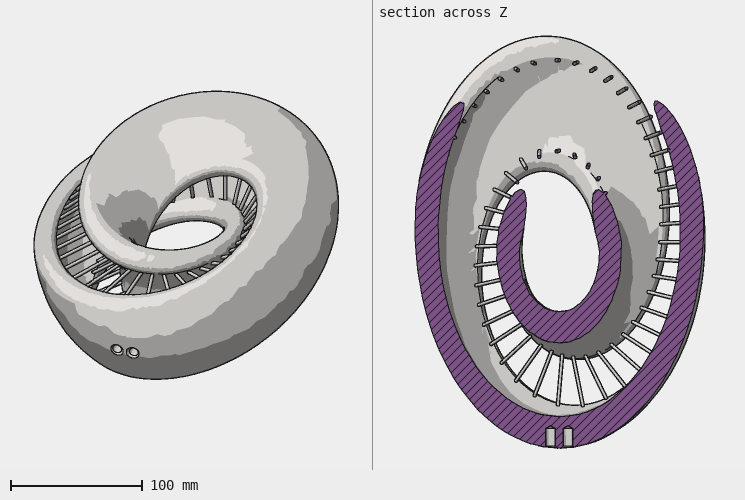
import cadquery as cq
import math

RING_RADIUS = 69.3
STRETCH_Y = 1.5
START_ANGLE = -90
SEGMENT_SPAN = 180
SEGMENTS = 4
STATION_STEP = 15

OUTER_CROWN = 34.6
RIM_CENTRE = (20.1, 26.47)
RIM_RADIUS = 8.35
RIM_START = 28
RIM_END = 196
RIM_STEPS = 6
WALL_THICKNESS = 16.0
INNER_CROWN = OUTER_CROWN - WALL_THICKNESS

ROD_COUNT = 80
ROD_PITCHES = 80.33
FIRST_ROD_ANGLE = 450
ROD_DIAMETER = 2.6
ROD_HALF_SPAN = 16.0
ROD_LEVEL = 23.0
ROD_SKEW = 0.15
ARC_SAMPLES = 2880

HOLE_OFFSET_X = 6.6
HOLE_DIAMETER = 7.0
COUNTERSINK_DIAMETER = 10.8
COUNTERSINK_DEPTH = (COUNTERSINK_DIAMETER - HOLE_DIAMETER) / 2
HOLE_DEPTH = 15.0
DRILL_POINT_ANGLE = 118


def twist(angle):
    """Turn of the section, in radians: half a degree per degree of ring."""
    return math.radians(angle - START_ANGLE) / 2


def section_plane(angle):
    """Plane across the round ring, with local x along p and local y along q."""
    around = math.radians(angle)
    turn = twist(angle)
    radial = cq.Vector(math.cos(around), math.sin(around), 0)
    up = cq.Vector(0, 0, 1)
    p_direction = radial * math.cos(turn) + up * math.sin(turn)
    tangent = cq.Vector(math.sin(around), -math.cos(around), 0)
    return cq.Plane(origin=radial * RING_RADIUS, xDir=p_direction, normal=tangent)


def rim_points():
    """Points round the rim on the +q side, from the outer face to the inner face."""
    step = math.radians(RIM_END - RIM_START) / RIM_STEPS
    bearings = [math.radians(RIM_START) + step * index for index in range(RIM_STEPS + 1)]
    return [
        (RIM_CENTRE[0] + RIM_RADIUS * math.cos(bearing), RIM_CENTRE[1] + RIM_RADIUS * math.sin(bearing))
        for bearing in bearings
    ]


def section_wire(angle):
    """Outline of the wall: two crowned faces joined by rounded rims."""
    upper_rim = rim_points()
    lower_rim = [(p, -q) for p, q in reversed(upper_rim)]
    return (
        cq.Workplane(section_plane(angle))
        .moveTo(*lower_rim[-1])
        .spline([(OUTER_CROWN, 0), upper_rim[0]], includeCurrent=True)
        .spline(upper_rim[1:], includeCurrent=True)
        .spline([(INNER_CROWN, 0), lower_rim[0]], includeCurrent=True)
        .spline(lower_rim[1:], includeCurrent=True)
        .wire()
        .val()
    )


def wall_segment(index):
    """Skin of the wall along one half of the ring, still round in plan."""
    first = START_ANGLE + index * SEGMENT_SPAN
    stations = range(first, first + SEGMENT_SPAN + 1, STATION_STEP)
    return cq.occ_impl.shapes.loft(*[section_wire(angle) for angle in stations])


def twisted_wall():
    """Closed solid made of the four segments, stretched along Y."""
    stretch = cq.Matrix([[1, 0, 0, 0], [0, STRETCH_Y, 0, 0], [0, 0, 1, 0]])
    faces = []
    for index in range(SEGMENTS):
        faces += wall_segment(index).transformGeometry(stretch).Faces()
    return cq.Solid.makeSolid(cq.Shell.makeShell(faces))


def slot_point(angle):
    """Middle of the slot, on the stretched ring."""
    around = math.radians(angle)
    turn = twist(angle)
    reach = RING_RADIUS - ROD_LEVEL * math.sin(turn)
    return cq.Vector(
        reach * math.cos(around),
        STRETCH_Y * reach * math.sin(around),
        ROD_LEVEL * math.cos(turn),
    )


def rod_angles():
    """Ring angles one pitch apart along the slot, going backwards round the ring."""
    total_span = SEGMENTS * SEGMENT_SPAN
    angles = [FIRST_ROD_ANGLE - total_span * step / ARC_SAMPLES for step in range(ARC_SAMPLES + 1)]
    points = [slot_point(angle) for angle in angles]
    lengths = [0.0]
    for before, after in zip(points, points[1:]):
        lengths.append(lengths[-1] + (after - before).Length)
    pitch = lengths[-1] / ROD_PITCHES
    chosen = []
    for angle, length in zip(angles, lengths):
        if length >= len(chosen) * pitch and len(chosen) < ROD_COUNT:
            chosen.append(angle)
    return chosen


def rod(angle):
    """Rod across the slot, nearly square to the oval centre line in plan."""
    around = math.radians(angle)
    turn = twist(angle)
    up = cq.Vector(0, 0, 1)
    outward = cq.Vector(STRETCH_Y * math.cos(around), math.sin(around), 0)
    widening = STRETCH_Y / outward.Length
    outward = outward.normalized()
    forward = up.cross(outward)
    lean = forward * (ROD_SKEW * math.sin(around) ** 2)
    half = (outward * (widening * math.cos(turn)) + up * math.sin(turn) + lean) * ROD_HALF_SPAN
    return cq.Solid.makeCylinder(ROD_DIAMETER / 2, 2 * half.Length, slot_point(angle) - half, half)


def countersunk_hole(x):
    """Blind hole along Y with a drill point and a countersunk mouth, at the -Y end."""
    radius = HOLE_DIAMETER / 2
    mouth_radius = COUNTERSINK_DIAMETER / 2
    mouth_y = -STRETCH_Y * (RING_RADIUS + OUTER_CROWN)
    shoulder_y = mouth_y + HOLE_DEPTH
    tip_y = shoulder_y + radius / math.tan(math.radians(DRILL_POINT_ANGLE / 2))
    half_profile = [
        (x, mouth_y),
        (x + mouth_radius, mouth_y),
        (x + radius, mouth_y + COUNTERSINK_DEPTH),
        (x + radius, shoulder_y),
        (x, tip_y),
    ]
    outline = cq.Workplane("XY").polyline(half_profile).close()
    return outline.revolve(360, (x, mouth_y), (x, tip_y)).val()


body = twisted_wall()
body = body.fuse(*[rod(angle) for angle in rod_angles()])
body = body.cut(*[countersunk_hole(side * HOLE_OFFSET_X) for side in (-1, 1)])
result = cq.Workplane("XY").newObject([body])